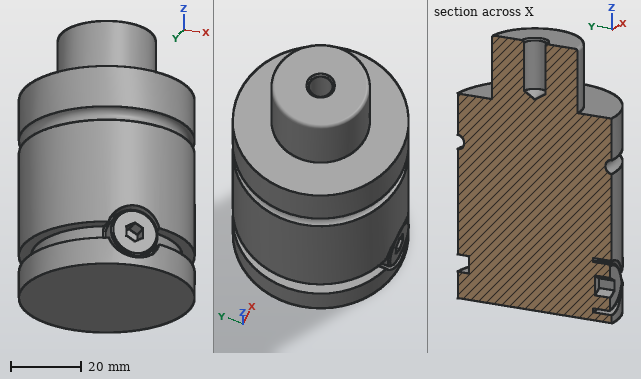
import cadquery as cq
import math

body_diameter = 50.0
body_height = 61.0
body_radius = body_diameter / 2

overall_height = 80.0
rod_diameter = 28.0
rod_edge_radius = 1.0

rod_hole_diameter = 6.8
rod_hole_mouth_diameter = 8.0
rod_hole_depth = 15.0
drill_point_angle = 118.0

round_groove_height = 46.5
round_groove_radius = 2.05
round_groove_floor_diameter = 46.0

square_groove_bottom = 8.0
square_groove_width = 5.0
square_groove_floor_diameter = 43.0

plug_height = square_groove_bottom + square_groove_width / 2
plug_diameter = 14.0
plug_chamfer = 0.5
plug_face_inset = 0.5
plug_bore_diameter = 16.0
plug_bore_depth = 6.0
hex_across_flats = 5.0
hex_depth = 5.0


def make_body():
    return cq.Workplane("XY").circle(body_radius).extrude(body_height)


def make_rod():
    rod = cq.Workplane("XY").workplane(offset=body_height).circle(rod_diameter / 2)
    rod = rod.extrude(overall_height - body_height)
    return rod.faces(">Z").edges().fillet(rod_edge_radius)


def make_rod_hole():
    """Revolved cutter: chamfered mouth, straight bore and drill point."""
    hole_radius = rod_hole_diameter / 2
    mouth_radius = rod_hole_mouth_diameter / 2
    mouth_chamfer = mouth_radius - hole_radius
    bore_bottom = overall_height - rod_hole_depth
    point_length = hole_radius / math.tan(math.radians(drill_point_angle / 2))
    return (
        cq.Workplane("XZ")
        .moveTo(0, overall_height)
        .lineTo(mouth_radius, overall_height)
        .lineTo(hole_radius, overall_height - mouth_chamfer)
        .lineTo(hole_radius, bore_bottom)
        .lineTo(0, bore_bottom - point_length)
        .close()
        .revolve()
    )


def make_round_groove():
    """Ring of circular section whose innermost point touches the groove floor."""
    ring_radius = round_groove_floor_diameter / 2 + round_groove_radius
    ring_centre = cq.Vector(0, 0, round_groove_height)
    return cq.Workplane(cq.Solid.makeTorus(ring_radius, round_groove_radius, ring_centre))


def make_square_groove():
    ring = cq.Workplane("XY").workplane(offset=square_groove_bottom)
    ring = ring.circle(body_diameter).circle(square_groove_floor_diameter / 2)
    return ring.extrude(square_groove_width)


def plug_plane(inset):
    """Plane facing -Y, centred on the plug, at the given inset from the body surface."""
    origin = (0, inset - body_radius, plug_height)
    return cq.Workplane(cq.Plane(origin=origin, xDir=(1, 0, 0), normal=(0, -1, 0)))


def make_plug_bore():
    return plug_plane(plug_bore_depth).circle(plug_bore_diameter / 2).extrude(plug_bore_depth)


def make_plug():
    plug_length = plug_bore_depth - plug_face_inset
    plug = plug_plane(plug_bore_depth).circle(plug_diameter / 2).extrude(plug_length)
    plug = plug.faces("<Y").edges().chamfer(plug_chamfer)
    hex_across_corners = hex_across_flats / math.cos(math.pi / 6)
    socket = plug_plane(plug_face_inset).transformed(rotate=(0, 0, 90))
    socket = socket.polygon(6, hex_across_corners).extrude(-hex_depth)
    return plug.cut(socket)


result = make_body().union(make_rod())
result = result.cut(make_rod_hole())
result = result.cut(make_round_groove())
result = result.cut(make_square_groove())
result = result.cut(make_plug_bore())
result = result.union(make_plug())